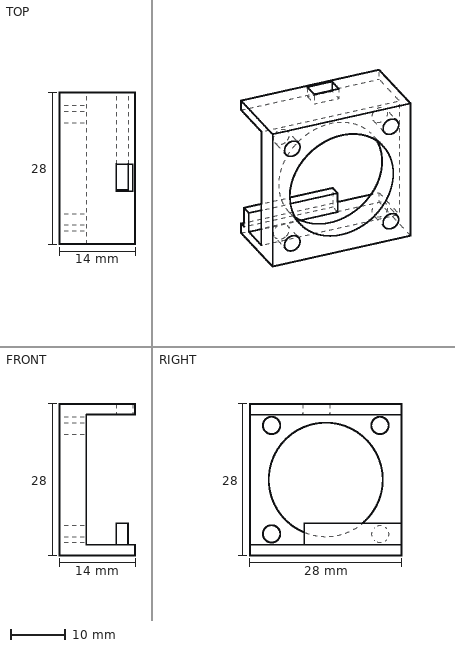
import cadquery as cq

depth = 14.0
width = 28.0
height = 28.0
plate_thickness = 5.0
flange_thickness = 2.0

bore_diameter = 21.0
screw_hole_diameter = 3.16
screw_spacing = 20.0

rib_x = 10.5
rib_thickness = 2.2
rib_height = 4.0
rib_start_y = 10.0

window_x = rib_x
window_start_y = 9.75
window_size_x = 3.0
window_size_y = 5.0

center_y = width / 2
center_z = height / 2
top_flange_z = height - flange_thickness


def block(corner, size):
    """Box with the given lowest corner and size, both as (x, y, z)."""
    return cq.Workplane("XY").box(*size, centered=False).translate(corner)


def plate_cylinders(points, diameter):
    """Cylinders along X that span the ring plate at the given (y, z) points."""
    return cq.Workplane("YZ").pushPoints(points).circle(diameter / 2).extrude(plate_thickness)


def make_frame():
    """Ring plate with a flange running along its top and bottom edges."""
    plate = block((0, 0, 0), (plate_thickness, width, height))
    bottom_flange = block((0, 0, 0), (depth, width, flange_thickness))
    top_flange = bottom_flange.translate((0, 0, top_flange_z))
    return plate.union(bottom_flange).union(top_flange)


def make_plate_openings():
    """Central bore and the four screw holes around it."""
    offset = screw_spacing / 2
    screw_points = [
        (center_y + side_y * offset, center_z + side_z * offset)
        for side_y in (-1, 1)
        for side_z in (-1, 1)
    ]
    bore = plate_cylinders([(center_y, center_z)], bore_diameter)
    return bore.union(plate_cylinders(screw_points, screw_hole_diameter))


def make_rib():
    """Upright rib on the inner face of the bottom flange."""
    return block(
        (rib_x, rib_start_y, flange_thickness),
        (rib_thickness, width - rib_start_y, rib_height),
    )


def make_window():
    """Cutter for the window through the top flange."""
    return block(
        (window_x, window_start_y, top_flange_z),
        (window_size_x, window_size_y, flange_thickness),
    )


result = make_frame().cut(make_plate_openings()).union(make_rib()).cut(make_window())